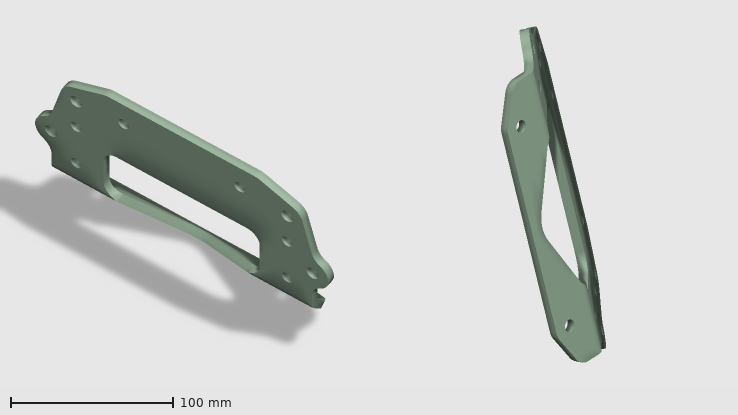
import cadquery as cq
import math

thickness = 6.0
top_z = 62.0
side_x = 98.5

bend_angle = 45.0
bend_z = -30.5
inner_radius = 0.5
neutral_factor = 0.4
bend_rad = math.radians(bend_angle)
outer_radius = inner_radius + thickness
bend_axis_y = outer_radius

ear_radius = 12.0
ear_x = 110.9 - ear_radius
ear_blend_radius = 12.0
top_corner = (57.2, top_z)
shoulder = (89.5, 50.1)
slant_foot = (side_x, 17.7)
shoulder_radius = 12.0
top_corner_radius = 13.3

large_hole = 9.0
small_hole = 8.0
hole_column_x = 79.8
large_holes = [(ear_x, 0), (hole_column_x, 41.0)]
small_holes = [(hole_column_x, 17.0), (hole_column_x, -17.0), (44.0, 44.1)]

flange_length = 28.5
flange_side_length = 15.3
flange_end_x = 72.3
flange_corner_radius = 10.0
flange_hole = (69.9, 17.0)

window_x = 59.0
window_top_z = 9.0
window_radius = 10.0
v_angle = math.radians(24.5)
v_tip_radius = 23.3
bend_window_x = window_x - window_radius + window_radius * math.sin(v_angle)
bend_length = bend_rad * (inner_radius + neutral_factor * thickness)
flange_window_x = bend_window_x - bend_length / math.tan(v_angle)

cut_margin = 2.2
flange_plane = cq.Plane(
    origin=(
        0,
        bend_axis_y - outer_radius * math.cos(bend_rad),
        bend_z - outer_radius * math.sin(bend_rad),
    ),
    xDir=(1, 0, 0),
    normal=(0, -math.cos(bend_rad), -math.sin(bend_rad)),
)


def ear_blend(start, end, side):
    """Points of the arc joining the line start-end to the ear; side is +1 above it, -1 below."""
    length = math.dist(start, end)
    along = ((end[0] - start[0]) / length, (end[1] - start[1]) / length)
    outward = (-side * along[1], side * along[0])
    to_line = (start[0] - ear_x, start[1])
    offset = to_line[0] * outward[0] + to_line[1] * outward[1] + ear_blend_radius
    reach = math.sqrt((ear_radius + ear_blend_radius) ** 2 - offset**2)
    center = (
        ear_x + offset * outward[0] - reach * along[0],
        offset * outward[1] - reach * along[1],
    )
    on_line = (
        center[0] - ear_blend_radius * outward[0],
        center[1] - ear_blend_radius * outward[1],
    )
    on_ear = ((ear_x + center[0]) / 2, center[1] / 2)
    chord_mid = ((on_line[0] + on_ear[0]) / 2, (on_line[1] + on_ear[1]) / 2)
    stretch = ear_blend_radius / math.dist(center, chord_mid)
    middle = (
        center[0] + stretch * (chord_mid[0] - center[0]),
        center[1] + stretch * (chord_mid[1] - center[1]),
    )
    return on_line, middle, on_ear


def half_plate():
    upper_line, upper_mid, upper_ear = ear_blend(shoulder, slant_foot, 1)
    lower_line, lower_mid, lower_ear = ear_blend((side_x, bend_z), (side_x, 0), -1)
    plate = (
        cq.Workplane("XZ")
        .moveTo(0, bend_z)
        .lineTo(0, top_z)
        .lineTo(*top_corner)
        .lineTo(*shoulder)
        .lineTo(*upper_line)
        .threePointArc(upper_mid, upper_ear)
        .threePointArc((ear_x + ear_radius, 0), lower_ear)
        .threePointArc(lower_mid, lower_line)
        .lineTo(side_x, bend_z)
        .close()
        .extrude(-thickness)
    )
    for corner, radius in [(top_corner, top_corner_radius), (shoulder, shoulder_radius)]:
        edge_point = (corner[0], thickness / 2, corner[1])
        plate = plate.edges(cq.NearestToPointSelector(edge_point)).fillet(radius)
    for points, diameter in [(large_holes, large_hole), (small_holes, small_hole)]:
        pins = cq.Workplane("XZ").pushPoints(points).circle(diameter / 2).extrude(-thickness)
        plate = plate.cut(pins)
    return plate.cut(plate_window())


def plate_window():
    corner_x = window_x - window_radius
    corner_z = bend_z + window_radius * math.cos(v_angle)
    arc_mid_angle = (math.pi / 2 - v_angle) / 2
    arc_mid = (
        corner_x + window_radius * math.cos(arc_mid_angle),
        corner_z - window_radius * math.sin(arc_mid_angle),
    )
    window = (
        cq.Workplane("XZ")
        .moveTo(0, bend_z)
        .lineTo(0, window_top_z)
        .lineTo(window_x, window_top_z)
        .lineTo(window_x, corner_z)
        .threePointArc(arc_mid, (bend_window_x, bend_z))
        .close()
        .extrude(-thickness)
    )
    top_edge = cq.NearestToPointSelector((window_x, thickness / 2, window_top_z))
    return window.edges(top_edge).fillet(window_radius)


def half_bend():
    strip = (
        cq.Workplane("XY", origin=(0, 0, bend_z))
        .rect(side_x, thickness, centered=False)
        .revolve(bend_angle, (0, bend_axis_y), (1, bend_axis_y))
    )
    depth = bend_axis_y + cut_margin
    plate_end = cq.Plane(origin=(0, bend_axis_y, bend_z), xDir=(1, 0, 0), normal=(0, 0, 1))
    flange_end = plate_end.rotated((bend_angle, 0, 0))
    sections = []
    for plane, width in [(plate_end, bend_window_x), (flange_end, flange_window_x)]:
        corners = [(0, 0), (width, 0), (width, -depth), (0, -depth)]
        sections.append(cq.Wire.makePolygon([plane.toWorldCoords(c) for c in corners], close=True))
    return strip.cut(cq.Workplane(cq.Solid.makeLoft(sections, True)))


def half_flange():
    flange = (
        cq.Workplane(flange_plane)
        .polyline(
            [
                (0, 0),
                (side_x, 0),
                (side_x, -flange_side_length),
                (flange_end_x, -flange_length),
                (0, -flange_length),
            ]
        )
        .close()
        .extrude(-thickness)
    )
    for corner in [(side_x, -flange_side_length), (flange_end_x, -flange_length)]:
        edge_point = flange_plane.toWorldCoords((*corner, -thickness / 2))
        corner_edge = cq.NearestToPointSelector(edge_point.toTuple())
        flange = flange.edges(corner_edge).fillet(flange_corner_radius)
    hole = (
        cq.Workplane(flange_plane)
        .center(flange_hole[0], -flange_hole[1])
        .circle(small_hole / 2)
        .extrude(-thickness)
    )
    return flange.cut(hole).cut(flange_notch())


def flange_notch():
    """V with a rounded tip on X = 0."""
    tip = flange_window_x * math.tan(v_angle)
    arc_center = tip - v_tip_radius / math.cos(v_angle)

    def tip_arc_point(angle):
        return (
            v_tip_radius * math.sin(angle),
            -arc_center - v_tip_radius * math.cos(angle),
        )

    return (
        cq.Workplane(flange_plane)
        .moveTo(0, 0)
        .lineTo(flange_window_x, 0)
        .lineTo(*tip_arc_point(v_angle))
        .threePointArc(tip_arc_point(v_angle / 2), tip_arc_point(0))
        .close()
        .extrude(-thickness)
    )


half = half_plate().union(half_bend()).union(half_flange())
result = half.union(half.mirror("YZ")).clean()